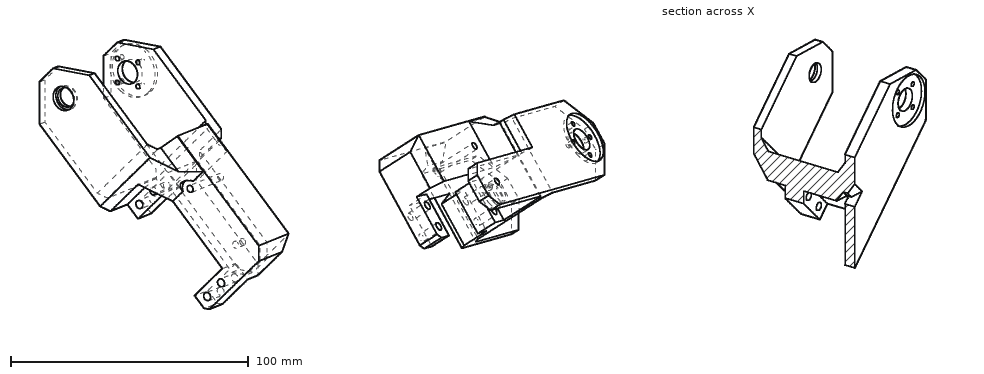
import cadquery as cq
import math

TILT = 45

OVERALL_LENGTH = 100.7

FORK_WIDTH = 53.0
ARM_HALF = 18.0
ARM_END = -12.5
ARM_CORNER = 13.1
FRONT_ARM = 4.0
REAR_ARM = 5.2
WEB_INNER = 42.2
WEB_OUTER = 48.2
CORNER_BEVEL = 3.7

BLOCK_FRONT = 16.4
BLOCK_REAR = 38.8
BLOCK_END = 105.4
BLOCK_TOP = 24.4
SHOULDER = 6.0
REAR_GUSSET_LENGTH = 8.2

BAY_TOP = 2.0
BAY_END = 96.7
LUG_DEPTH = 9.9
INNER_LUG_END = 55.9
LUG_CORNER = 1.9
LUG_HOLE = 3.5
LUG_HOLE_X = (51.9, 100.8)
LUG_HOLE_Z = (-13.0, -2.9)

PLATE_END = 98.3
PLATE_CORNER = 5.0
PLATE_ROOT_BEVEL = 0.8
SMALL_HOLE = 3.0
PLATE_HOLE_X = 85.8

BLOCK_HOLE_X = 62.3
BLOCK_HOLE_Z = 13.2
CLEARANCE_RADIUS = 3.9

FRONT_BORE = 8.5
FRONT_SEAT = 10.5
FRONT_SEAT_DEPTH = 2.0
REAR_BORE = 10.0
HORN_RECESS = 23.0
HORN_RECESS_DEPTH = 1.8
HORN_SCREW = 2.0
HORN_SCREW_RADIUS = 7.5

REAR_INNER = FORK_WIDTH - REAR_ARM
BEVEL_START = WEB_OUTER - CORNER_BEVEL
TIP_SUM = ARM_END + ARM_CORNER - ARM_HALF
NOSE_SUM = TIP_SUM + OVERALL_LENGTH * math.sqrt(2)
NOSE_CORNER = BLOCK_END + BLOCK_TOP - NOSE_SUM
BAY_MIDDLE = (BAY_TOP - ARM_HALF) / 2
BAY_HEIGHT = BAY_TOP + ARM_HALF


def box(x0, x1, y0, y1, z0, z1):
    return cq.Workplane("XY").box(x1 - x0, y1 - y0, z1 - z0, centered=False).translate((x0, y0, z0))


def side_prism(points, y0, y1):
    """Extrude an outline of (x, z) points from y0 to y1."""
    return cq.Workplane("XZ", origin=(0, y0, 0)).polyline(points).close().extrude(y0 - y1)


def cylinder(diameter, x, z, y0, y1):
    return cq.Workplane("XZ", origin=(0, y0, 0)).center(x, z).circle(diameter / 2).extrude(y0 - y1)


def fork_and_block():
    """Fork, web and solid servo block before the bay is removed."""
    plan = [
        (ARM_END, 0),
        (BEVEL_START, 0),
        (BEVEL_START + BLOCK_FRONT, BLOCK_FRONT),
        (BLOCK_END, BLOCK_FRONT),
        (BLOCK_END, BLOCK_REAR - NOSE_CORNER),
        (BLOCK_END - NOSE_CORNER, BLOCK_REAR),
        (WEB_OUTER + REAR_GUSSET_LENGTH, BLOCK_REAR),
        (WEB_OUTER, BLOCK_REAR + REAR_GUSSET_LENGTH),
        (WEB_OUTER, FORK_WIDTH - CORNER_BEVEL),
        (BEVEL_START, FORK_WIDTH),
        (ARM_END, FORK_WIDTH),
        (ARM_END, REAR_INNER),
        (WEB_INNER - CORNER_BEVEL, REAR_INNER),
        (WEB_INNER, REAR_INNER - CORNER_BEVEL),
        (WEB_INNER, FRONT_ARM + CORNER_BEVEL),
        (WEB_INNER - CORNER_BEVEL, FRONT_ARM),
        (ARM_END, FRONT_ARM),
    ]
    cross_section = [
        (0, -ARM_HALF),
        (FORK_WIDTH, -ARM_HALF),
        (FORK_WIDTH, ARM_HALF),
        (BLOCK_REAR + SHOULDER, ARM_HALF),
        (BLOCK_REAR, ARM_HALF + SHOULDER),
        (BLOCK_REAR, BLOCK_TOP),
        (BLOCK_FRONT, BLOCK_TOP),
        (BLOCK_FRONT, ARM_HALF + SHOULDER),
        (BLOCK_FRONT - SHOULDER, ARM_HALF),
        (0, ARM_HALF),
    ]
    side = [
        (ARM_END, ARM_CORNER - ARM_HALF),
        (ARM_END + ARM_CORNER, -ARM_HALF),
        (BLOCK_END - LUG_CORNER, -ARM_HALF),
        (BLOCK_END, LUG_CORNER - ARM_HALF),
        (BLOCK_END, BLOCK_TOP - NOSE_CORNER),
        (BLOCK_END - NOSE_CORNER, BLOCK_TOP),
        (WEB_INNER - CORNER_BEVEL, BLOCK_TOP),
        (WEB_INNER - CORNER_BEVEL, ARM_HALF),
        (ARM_END + ARM_CORNER, ARM_HALF),
        (ARM_END, ARM_HALF - ARM_CORNER),
    ]
    body = cq.Workplane("XY", origin=(0, 0, -ARM_HALF)).polyline(plan).close().extrude(ARM_HALF + BLOCK_TOP)
    section = cq.Workplane("YZ", origin=(ARM_END, 0, 0)).polyline(cross_section).close()
    body = body.intersect(section.extrude(BLOCK_END - ARM_END))
    return body.intersect(side_prism(side, 0, FORK_WIDTH))


def servo_bay():
    """Open bay below the block, reaching behind the end lug."""
    bay = box(WEB_OUTER, BAY_END, 0, FORK_WIDTH, -ARM_HALF, BAY_TOP)
    behind_lug = box(BAY_END, BLOCK_END, BLOCK_FRONT + LUG_DEPTH, FORK_WIDTH, -ARM_HALF, BAY_TOP)
    return bay.union(behind_lug)


def inner_lug():
    return box(WEB_OUTER, INNER_LUG_END, BLOCK_FRONT, BLOCK_FRONT + LUG_DEPTH, -ARM_HALF, BAY_TOP)


def support_plate():
    """Rear plate continuing the arm behind the bay, with a small bevel at its root."""
    outline = [
        (WEB_INNER, -ARM_HALF),
        (PLATE_END - PLATE_CORNER, -ARM_HALF),
        (PLATE_END, PLATE_CORNER - ARM_HALF),
        (PLATE_END, BAY_TOP - PLATE_CORNER),
        (PLATE_END - PLATE_CORNER, BAY_TOP),
        (WEB_INNER, BAY_TOP),
    ]
    root = [
        (WEB_OUTER, REAR_INNER),
        (WEB_OUTER + PLATE_ROOT_BEVEL, REAR_INNER),
        (WEB_OUTER, REAR_INNER - PLATE_ROOT_BEVEL),
    ]
    bevel = cq.Workplane("XY", origin=(0, 0, -ARM_HALF)).polyline(root).close().extrude(BAY_HEIGHT)
    return side_prism(outline, REAR_INNER, FORK_WIDTH).union(bevel)


def pivot_cuts():
    """Stepped front bore, rear bore, horn recess and horn screw holes."""
    cuts = cylinder(FRONT_BORE, 0, 0, 0, FRONT_ARM)
    cuts = cuts.union(cylinder(FRONT_SEAT, 0, 0, 0, FRONT_SEAT_DEPTH))
    cuts = cuts.union(cylinder(REAR_BORE, 0, 0, REAR_INNER, FORK_WIDTH))
    cuts = cuts.union(cylinder(HORN_RECESS, 0, 0, FORK_WIDTH - HORN_RECESS_DEPTH, FORK_WIDTH))
    for quarter in range(4):
        angle = quarter * math.pi / 2
        x = HORN_SCREW_RADIUS * math.cos(angle)
        z = HORN_SCREW_RADIUS * math.sin(angle)
        cuts = cuts.union(cylinder(HORN_SCREW, x, z, REAR_INNER, FORK_WIDTH))
    return cuts


def mounting_cuts():
    """Lug holes, block hole with its clearance, and support plate hole."""
    cuts = cylinder(SMALL_HOLE, PLATE_HOLE_X, BAY_MIDDLE, REAR_INNER, FORK_WIDTH)
    cuts = cuts.union(cylinder(SMALL_HOLE, BLOCK_HOLE_X, BLOCK_HOLE_Z, 0, FORK_WIDTH))
    cuts = cuts.union(cylinder(2 * CLEARANCE_RADIUS, BLOCK_HOLE_X, BLOCK_HOLE_Z, 0, BLOCK_FRONT))
    for x in LUG_HOLE_X:
        for z in LUG_HOLE_Z:
            cuts = cuts.union(cylinder(LUG_HOLE, x, z, BLOCK_FRONT, BLOCK_FRONT + LUG_DEPTH))
    return cuts


bracket = fork_and_block().cut(servo_bay()).union(inner_lug()).union(support_plate())
bracket = bracket.cut(pivot_cuts()).cut(mounting_cuts())
result = bracket.rotate((0, 0, 0), (0, 1, 0), TILT)